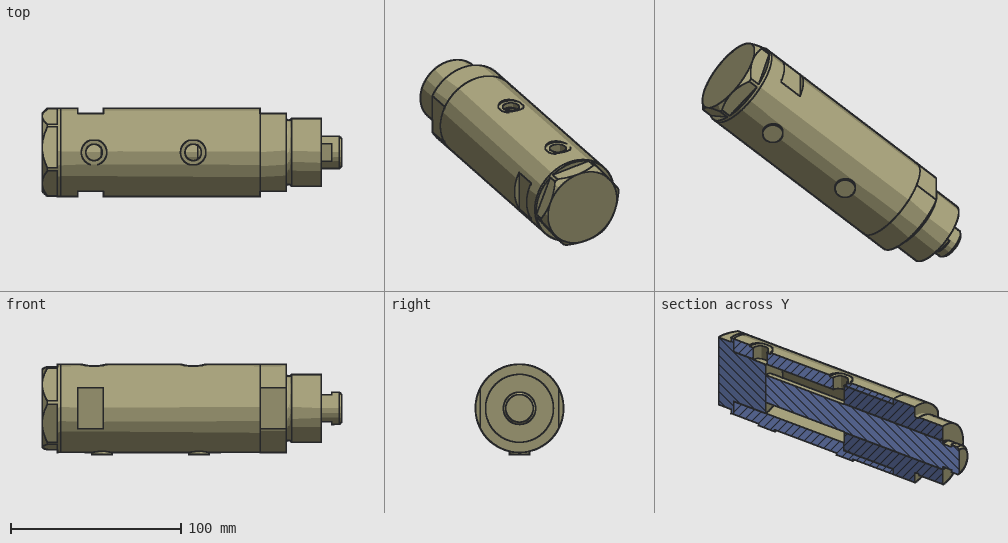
import cadquery as cq
import math


body_dia = 52.0
bore_dia = 33.5
counterbore_dia = 44.0
counterbore_start = 91.5
housing_start = 11.0
housing_end = 128.0
wrench_across = 46.0
housing_flat_start = 21.0
housing_flat_length = 15.0

port_places = (30.5, 88.7)
port_dia = 9.7
port_seat_dia = 15.0
port_seat_depth = 1.0

boss_places = (35.0, 92.0)
boss_dia = 12.0
boss_height = 1.2

hex_across = 46.0
hex_length = 9.0
hex_tilt = 22.5
hex_face_dia = hex_across
cap_dia = body_dia
spigot_end = 34.7

flange_end = 143.5
nose_end = 164.0
nose_dia = 40.0
groove_dia = 38.0
groove_end = 146.6
groove_radius = 0.9

rod_end = 176.0
rod_dia = 19.0
rod_across = 16.0
rod_flat_end = 170.0
rod_chamfer = 1.4


def cylinder(start, end, diameter):
    """Cylinder on the X axis between two places along it."""
    plane = cq.Plane(origin=(start, 0, 0), xDir=(0, 0, 1), normal=(1, 0, 0))
    return cq.Workplane(plane).circle(diameter / 2).extrude(end - start)


def flats_cutter(start, end, across, outer_dia):
    """Two blocks that cut a pair of flats into the +Y and -Y sides of a cylinder."""
    thickness = outer_dia - across
    blocks = cq.Workplane("XY")
    for side in (-1, 1):
        block = cq.Workplane("XY").box(end - start, thickness, outer_dia)
        centre_y = side * (across + thickness) / 2
        blocks = blocks.add(block.translate(((start + end) / 2, centre_y, 0)))
    return blocks.combine()


def make_housing():
    """Bored tube with wrench flats, two ports on top and two bosses below."""
    tube = cylinder(housing_start, housing_end, body_dia)
    body_radius = body_dia / 2
    for place in boss_places:
        boss_bottom = cq.Workplane("XY", origin=(place, 0, -body_radius - boss_height))
        tube = tube.union(boss_bottom.circle(boss_dia / 2).extrude(body_radius))
    tube = tube.cut(cylinder(housing_start, counterbore_start, bore_dia))
    tube = tube.cut(cylinder(counterbore_start, housing_end, counterbore_dia))

    flat_end = housing_flat_start + housing_flat_length
    tube = tube.cut(flats_cutter(housing_flat_start, flat_end, wrench_across, body_dia))

    for place in port_places:
        port_top = cq.Workplane("XY", origin=(place, 0, body_radius))
        tube = tube.cut(port_top.circle(port_seat_dia / 2).extrude(-port_seat_depth))
        tube = tube.cut(port_top.circle(port_dia / 2).extrude(-body_radius))
    return tube


def make_cap():
    """Hexagonal head with rounded-off, chamfered corners, a collar and a spigot in the bore."""
    hexagon = (
        cq.Workplane("YZ")
        .polygon(6, hex_across, circumscribed=True)
        .extrude(hex_length)
        .rotate((0, 0, 0), (1, 0, 0), hex_tilt)
    )
    chamfer = (cap_dia - hex_face_dia) / 2
    blank = cylinder(0, hex_length, cap_dia).faces("<X").chamfer(chamfer)
    head = hexagon.intersect(blank)
    collar = cylinder(hex_length, housing_start, cap_dia)
    spigot = cylinder(housing_start, spigot_end, bore_dia)
    return head.union(collar).union(spigot)


def make_gland():
    """Flange with wrench flats, a sleeve in the bore and a grooved nose, drilled for the rod."""
    flange = cylinder(housing_end, flange_end, body_dia)
    flange = flange.cut(flats_cutter(housing_end, flange_end, wrench_across, body_dia))
    sleeve = cylinder(counterbore_start, housing_end, counterbore_dia)

    groove_depth = (nose_dia - groove_dia) / 2
    floor_radius = groove_dia / 2
    cone_angle = math.radians(45)
    rise_45 = groove_radius * (1 - math.cos(cone_angle))
    rise_22 = groove_radius * (1 - math.cos(cone_angle / 2))
    cone_start = groove_end - (groove_depth - rise_45)
    floor_end = cone_start - groove_radius * math.sin(cone_angle)
    nose = (
        cq.Workplane("XY")
        .moveTo(flange_end, 0)
        .lineTo(flange_end, floor_radius + groove_radius)
        .threePointArc(
            (flange_end + rise_45, floor_radius + rise_45),
            (flange_end + groove_radius, floor_radius),
        )
        .lineTo(floor_end, floor_radius)
        .threePointArc(
            (floor_end + groove_radius * math.sin(cone_angle / 2), floor_radius + rise_22),
            (cone_start, floor_radius + rise_45),
        )
        .lineTo(groove_end, nose_dia / 2)
        .lineTo(nose_end, nose_dia / 2)
        .lineTo(nose_end, 0)
        .close()
        .revolve(360, (0, 0, 0), (1, 0, 0))
    )
    rod_hole = cylinder(counterbore_start, nose_end, rod_dia)
    return flange.union(sleeve).union(nose).cut(rod_hole)


def make_rod():
    """Round rod from the cap's spigot, with a chamfered tip and two flats outside the nose."""
    rod = cylinder(spigot_end, rod_end, rod_dia).faces(">X").chamfer(rod_chamfer)
    flats = flats_cutter(nose_end, rod_flat_end, rod_across, rod_dia)
    return rod.cut(flats.rotate((0, 0, 0), (1, 0, 0), 90))


housing = make_housing()
cap = make_cap()
gland = make_gland()
rod = make_rod()

result = cq.Compound.makeCompound([housing.val(), cap.val(), gland.val(), rod.val()])